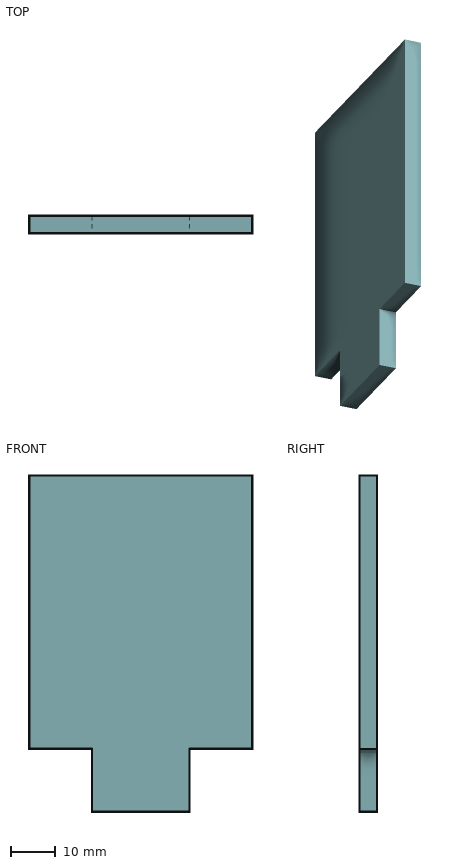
import cadquery as cq

total_height = 75.35
plate_width = 50.0
thickness = 4.0

tab_width = 21.9
tab_height = 14.1
plate_height = total_height - tab_height


def upright_block(width, height, bottom):
    """Block centred in X and Y, standing on the given Z level."""
    return (
        cq.Workplane("XY")
        .workplane(offset=bottom)
        .rect(width, thickness)
        .extrude(height)
    )


tab = upright_block(tab_width, tab_height, 0)
plate = upright_block(plate_width, plate_height, tab_height)

result = plate.union(tab)